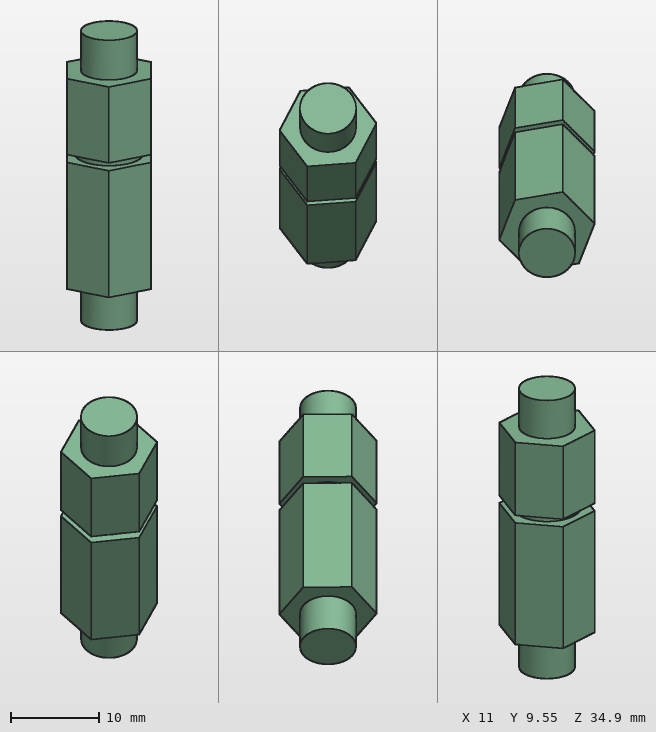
import cadquery as cq
import math

total_length = 34.92
stub_length = 4.8
lower_hex_length = 15.25
neck_length = 0.95
upper_hex_length = total_length - 2 * stub_length - lower_hex_length - neck_length

stub_diameter = 6.35
neck_diameter = 7.68
hex_across_flats = 9.55
hex_across_corners = hex_across_flats / math.cos(math.pi / 6)


def round_section(bottom, diameter, length):
    """Cylinder on the Z axis, starting at height bottom."""
    return cq.Workplane("XY").workplane(offset=bottom).circle(diameter / 2).extrude(length)


def hex_section(bottom, length):
    """Hexagonal prism on the Z axis with two corners on the X axis."""
    return cq.Workplane("XY").workplane(offset=bottom).polygon(6, hex_across_corners).extrude(length)


lower_hex_bottom = stub_length
neck_bottom = lower_hex_bottom + lower_hex_length
upper_hex_bottom = neck_bottom + neck_length
upper_stub_bottom = upper_hex_bottom + upper_hex_length

result = (
    round_section(0, stub_diameter, stub_length)
    .union(hex_section(lower_hex_bottom, lower_hex_length))
    .union(round_section(neck_bottom, neck_diameter, neck_length))
    .union(hex_section(upper_hex_bottom, upper_hex_length))
    .union(round_section(upper_stub_bottom, stub_diameter, stub_length))
)